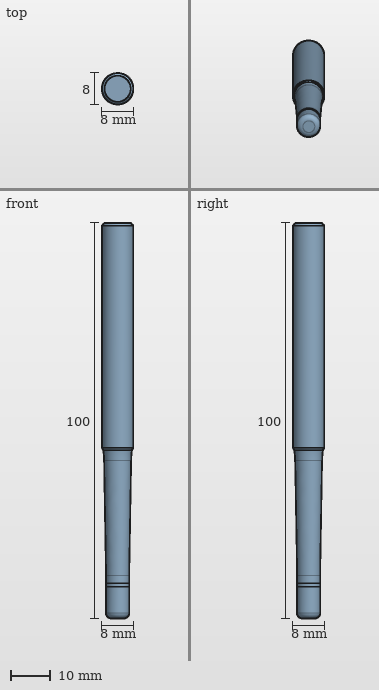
import cadquery as cq


head_radius = 3.0
corner_radius = 1.5
cut_length = 8.0

total_length = 100.0
shank_radius = 4.0
shank_chamfer = 0.7
shank_start = 43.2

land_length = 1.0
neck_relief = 0.05
neck_radius = head_radius - neck_relief
neck_start = cut_length + land_length
taper_start = 11.0
taper_end = 40.0
taper_end_radius = 3.45

flare_end = 42.6
flare_end_radius = 3.65


def cutting_head():
    """Plain cylinder with a rounded corner around the flat tip."""
    head = cq.Workplane("XY").circle(head_radius).extrude(cut_length)
    return head.faces("<Z").edges().fillet(corner_radius)


def shank_with_neck():
    """Revolved body from the back of the cutting head to the chamfered shank end."""
    profile = (
        cq.Workplane("XZ")
        .moveTo(0, cut_length)
        .lineTo(head_radius, cut_length)
        .lineTo(head_radius, neck_start)
        .lineTo(neck_radius, neck_start)
        .lineTo(neck_radius, taper_start)
        .lineTo(taper_end_radius, taper_end)
        .tangentArcPoint((flare_end_radius, flare_end), relative=False)
        .lineTo(shank_radius, shank_start)
        .lineTo(shank_radius, total_length)
        .lineTo(0, total_length)
        .close()
    )
    body = profile.revolve(360, (0, 0, 0), (0, 1, 0))
    return body.faces(">Z").edges().chamfer(shank_chamfer)


head = cutting_head()
shank = shank_with_neck()

result = cq.Compound.makeCompound([head.val(), shank.val()])